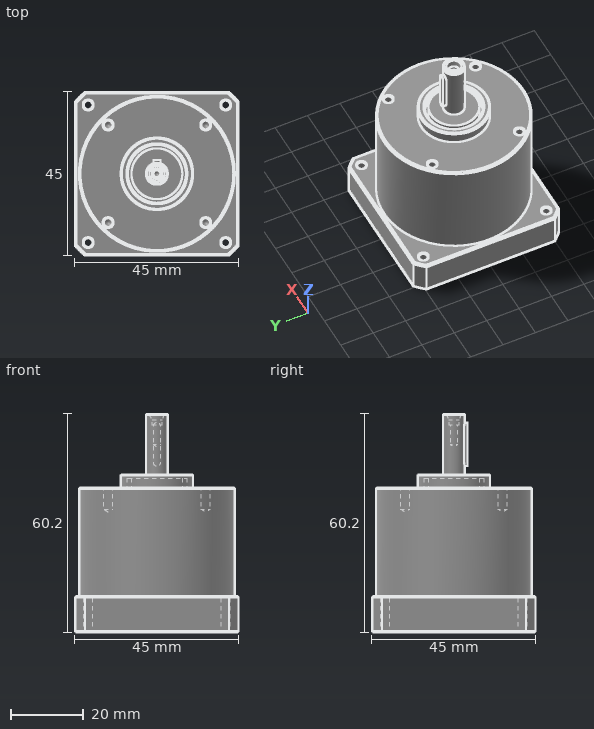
import cadquery as cq
import math

FLANGE_WIDTH = 45.0
FLANGE_CORNER_DIAMETER = 60.0
FLANGE_HEIGHT = 10.0
EDGE_CHAMFER = 0.4
FLANGE_HOLE_OFFSET = 18.95
SCREW_HOLE_DIAMETER = 2.45
SCREW_HOLE_MOUTH = 2.95

BARREL_DIAMETER = 43.0
BARREL_TOP = 40.0
BOSS_DIAMETER = 20.0
BOSS_TOP = 43.5
BOSS_CHAMFER = 0.3
BARREL_HOLE_CIRCLE_RADIUS = 19.0
BARREL_HOLE_DEPTH = 6.0
DRILL_POINT_ANGLE = 118.0

RECESS_MOUTH_DIAMETER = 16.8
RECESS_DIAMETER = 16.0
LIP_DEPTH = 1.1
RECESS_LOWER_DIAMETER = 16.6
RECESS_DEPTH = 3.5

HUB_DIAMETER = 14.0
SHAFT_DIAMETER = 6.0
SHAFT_TOP = 60.2
SHAFT_CHAMFER = 0.25
CENTRE_MOUTH_DIAMETER = 4.2
CENTRE_BORE_DIAMETER = 2.8
CENTRE_DRILL_DIAMETER = 2.0
CENTRE_MOUTH_DEPTH = 1.6
CENTRE_BORE_DEPTH = 3.0
CENTRE_DRILL_DEPTH = 8.4

KEY_WIDTH = 2.0
KEY_LENGTH = 12.0
KEY_BOTTOM = 45.9
KEY_TIP = 3.8


def cylinder(diameter, bottom, top):
    return cq.Workplane("XY").workplane(offset=bottom).circle(diameter / 2).extrude(top - bottom)


def drill_tip(diameter):
    """Length of the conical end of a drilled hole."""
    return diameter / 2 / math.tan(math.radians(DRILL_POINT_ANGLE / 2))


def square_points(offset):
    return [(x, y) for x in (-offset, offset) for y in (-offset, offset)]


def make_flange():
    plate = cq.Workplane("XY").rect(FLANGE_WIDTH, FLANGE_WIDTH).extrude(FLANGE_HEIGHT)
    plate = plate.intersect(cylinder(FLANGE_CORNER_DIAMETER, 0, FLANGE_HEIGHT))
    plate = plate.faces("<Z or >Z").chamfer(EDGE_CHAMFER)
    hole_chamfer = (SCREW_HOLE_MOUTH - SCREW_HOLE_DIAMETER) / 2
    through_hole = cylinder(SCREW_HOLE_DIAMETER, 0, FLANGE_HEIGHT).union(
        cq.Workplane("XZ")
        .moveTo(0, FLANGE_HEIGHT)
        .lineTo(SCREW_HOLE_MOUTH / 2, FLANGE_HEIGHT)
        .lineTo(SCREW_HOLE_DIAMETER / 2, FLANGE_HEIGHT - hole_chamfer)
        .lineTo(0, FLANGE_HEIGHT - hole_chamfer)
        .close()
        .revolve(360, (0, 0), (0, 1))
    )
    for x, y in square_points(FLANGE_HOLE_OFFSET):
        plate = plate.cut(through_hole.translate((x, y, 0)))
    return plate


def make_barrel():
    barrel = cylinder(BARREL_DIAMETER, FLANGE_HEIGHT, BARREL_TOP).faces(">Z").chamfer(EDGE_CHAMFER)
    boss = cylinder(BOSS_DIAMETER, BARREL_TOP, BOSS_TOP).faces(">Z").chamfer(BOSS_CHAMFER)
    barrel = barrel.union(boss)
    hole_chamfer = (SCREW_HOLE_MOUTH - SCREW_HOLE_DIAMETER) / 2
    blind_bottom = BARREL_TOP - BARREL_HOLE_DEPTH
    blind_hole = (
        cq.Workplane("XZ")
        .moveTo(0, BARREL_TOP)
        .lineTo(SCREW_HOLE_MOUTH / 2, BARREL_TOP)
        .lineTo(SCREW_HOLE_DIAMETER / 2, BARREL_TOP - hole_chamfer)
        .lineTo(SCREW_HOLE_DIAMETER / 2, blind_bottom)
        .lineTo(0, blind_bottom - drill_tip(SCREW_HOLE_DIAMETER))
        .close()
        .revolve(360, (0, 0), (0, 1))
    )
    for x, y in square_points(BARREL_HOLE_CIRCLE_RADIUS / math.sqrt(2)):
        barrel = barrel.cut(blind_hole.translate((x, y, 0)))
    return barrel


def make_recess():
    upper = cylinder(RECESS_DIAMETER, BOSS_TOP - LIP_DEPTH, BOSS_TOP)
    lower = cylinder(RECESS_LOWER_DIAMETER, BOSS_TOP - RECESS_DEPTH, BOSS_TOP - LIP_DEPTH)
    mouth_chamfer = (RECESS_MOUTH_DIAMETER - RECESS_DIAMETER) / 2
    mouth = (
        cq.Workplane("XY")
        .workplane(offset=BOSS_TOP)
        .circle(RECESS_MOUTH_DIAMETER / 2)
        .extrude(-mouth_chamfer, taper=45)
    )
    return lower.union(upper).union(mouth)


def make_housing():
    return make_flange().union(make_barrel()).cut(make_recess())


def make_centre_hole():
    mouth_bottom = SHAFT_TOP - CENTRE_MOUTH_DEPTH
    bore_bottom = SHAFT_TOP - CENTRE_BORE_DEPTH
    drill_bottom = SHAFT_TOP - CENTRE_DRILL_DEPTH
    return (
        cq.Workplane("XZ")
        .moveTo(0, SHAFT_TOP)
        .lineTo(CENTRE_MOUTH_DIAMETER / 2, SHAFT_TOP)
        .lineTo(CENTRE_BORE_DIAMETER / 2, mouth_bottom)
        .lineTo(CENTRE_BORE_DIAMETER / 2, bore_bottom)
        .lineTo(CENTRE_DRILL_DIAMETER / 2, bore_bottom)
        .lineTo(CENTRE_DRILL_DIAMETER / 2, drill_bottom)
        .lineTo(0, drill_bottom - drill_tip(CENTRE_DRILL_DIAMETER))
        .close()
        .revolve(360, (0, 0), (0, 1))
    )


def make_key():
    return (
        cq.Workplane("XZ")
        .center(0, KEY_BOTTOM + KEY_LENGTH / 2)
        .slot2D(KEY_LENGTH, KEY_WIDTH, 90)
        .extrude(-KEY_TIP)
    )


def make_shaft():
    hub = cylinder(HUB_DIAMETER, BOSS_TOP - RECESS_DEPTH, BOSS_TOP)
    journal = cylinder(SHAFT_DIAMETER, BOSS_TOP, SHAFT_TOP).faces(">Z").chamfer(SHAFT_CHAMFER)
    return hub.union(journal).union(make_key()).cut(make_centre_hole())


housing = make_housing()
shaft = make_shaft()
result = cq.Compound.makeCompound([housing.val(), shaft.val()])